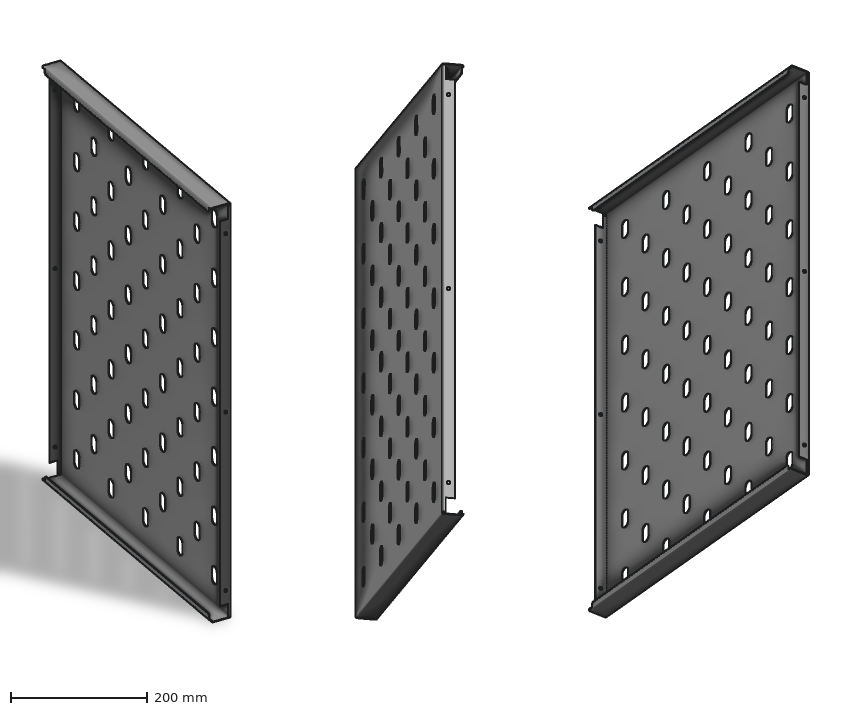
import cadquery as cq

width = 498.0
height = 698.0

sheet = 1.6
bend_radius = 3.15

end_flange_reach = 31.5
side_flange_depth = 19.5
side_flange_setback = 25.0
end_flange_inset = 3.0
side_notch_floor = 5.5
lip_height = 11.0
lip_inset = 7.0
lip_corner = 3.0

side_hole_count = 3
side_hole_diameter = 5.0
side_hole_spacing = 300.0
side_hole_from_back = 10.0

slot_width = 15.0
slot_length = 30.0
slot_columns = 5
slot_rows = 7
pitches_per_side_hole = 3
slot_pitch = side_hole_spacing / pitches_per_side_hole

depth = end_flange_reach + sheet
back = depth / 2
front = -depth / 2
bend_height = height - 2 * bend_radius
end_flange_width = width - 2 * end_flange_inset


def block(x_range, y_range, z_range):
    """A box between the given limits on each axis."""
    sizes = [high - low for low, high in (x_range, y_range, z_range)]
    corner = (x_range[0], y_range[0], z_range[0])
    return cq.Workplane("XY").box(*sizes, centered=False).translate(corner)


def both_ends(low, high):
    """Mirrored pair of ranges, one on each side of zero."""
    return [(-high, -low), (low, high)]


def make_side_channel():
    """Panel with its two side flanges, as a U-shaped section along Z."""
    flange_end = back - side_flange_depth
    half = width / 2
    inner_half = half - sheet
    z_range = (-bend_height / 2, bend_height / 2)
    outer = (
        block((-half, half), (flange_end, back), z_range)
        .edges("|Z and >Y")
        .fillet(bend_radius)
    )
    inner = (
        block((-inner_half, inner_half), (flange_end, back - sheet), z_range)
        .edges("|Z and >Y")
        .fillet(bend_radius - sheet)
    )
    channel = outer.cut(inner)
    for notch_range in both_ends(height / 2 - side_flange_setback, height / 2):
        notch = block((-half, half), (front, back - side_notch_floor), notch_range)
        channel = channel.cut(notch)
    return channel


def make_end_channel():
    """Panel with its top and bottom flanges and their lips, as a C-shaped section along X."""
    half = end_flange_width / 2
    outer = (
        block((-half, half), (front, back), (-height / 2, height / 2))
        .edges("|X")
        .fillet(bend_radius)
    )
    inner_top = height / 2 - sheet
    inner = (
        block((-half, half), (front + sheet, back - sheet), (-inner_top, inner_top))
        .edges("|X")
        .fillet(bend_radius - sheet)
    )
    lip_end = height / 2 - lip_height
    opening = block((-half, half), (front, front + bend_radius), (-lip_end, lip_end))
    return outer.cut(inner).cut(opening)


def make_lip_trim(side, end):
    """Material removed beside one end of a lip, leaving a chamfered corner."""
    outer_x = side * width / 2
    lip_x = side * (end_flange_width / 2 - lip_inset)
    bend_z = end * (height / 2 - bend_radius)
    lip_z = end * (height / 2 - lip_height)
    outline = [
        (outer_x, bend_z),
        (lip_x, bend_z),
        (lip_x, lip_z + end * lip_corner),
        (lip_x - side * lip_corner, lip_z),
        (outer_x, lip_z),
    ]
    return (
        cq.Workplane("XZ", origin=(0, front + bend_radius, 0))
        .polyline(outline)
        .close()
        .extrude(bend_radius)
    )


def make_slots(columns, rows):
    """Upright slots through the panel on a centred square grid."""
    return (
        cq.Workplane("XZ", origin=(0, back, 0))
        .rarray(slot_pitch, slot_pitch, columns, rows)
        .slot2D(slot_length, slot_width, 90)
        .extrude(2 * sheet, both=True)
    )


def make_side_holes():
    """Round holes through both side flanges."""
    return (
        cq.Workplane("YZ", origin=(0, back - side_hole_from_back, 0))
        .rarray(7, side_hole_spacing, 1, side_hole_count)
        .circle(side_hole_diameter / 2)
        .extrude(width, both=True)
    )


result = make_side_channel().union(make_end_channel())
for x_sign in (-1, 1):
    for z_sign in (-1, 1):
        result = result.cut(make_lip_trim(x_sign, z_sign))
result = result.cut(make_slots(slot_columns, slot_rows))
result = result.cut(make_slots(slot_columns - 1, slot_rows - 1))
result = result.cut(make_side_holes())